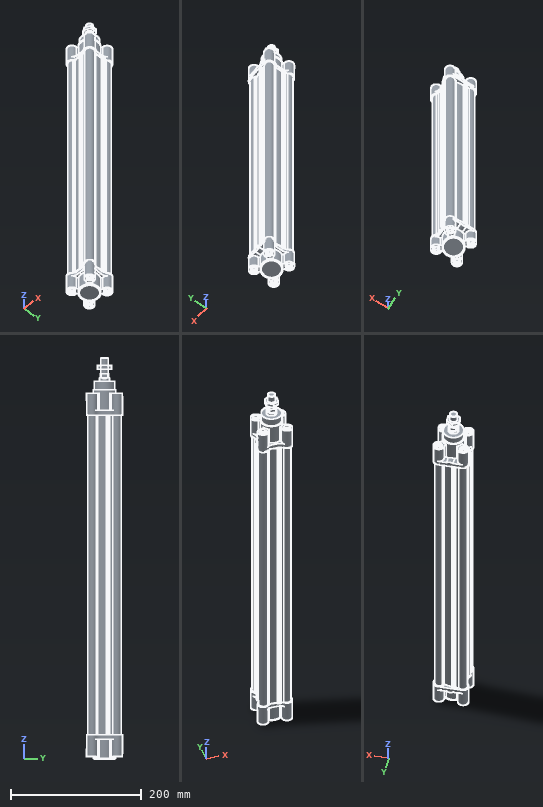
import cadquery as cq
import math


total_height = 613.0
foot_height = 1.5
rear_hub_height = 2.5
cap_height = 33.5
plate_height = 7.5
rod_reach = 54.0
front_hub_height = 5.5
collar_height = 13.0
rear_cap_bottom = foot_height + rear_hub_height
rear_cap_top = rear_cap_bottom + cap_height
front_cap_top = total_height - rod_reach
front_cap_bottom = front_cap_top - cap_height
front_hub_top = front_cap_top + front_hub_height
collar_top = front_hub_top + collar_height

cap_size = 55.0
post_radius = 8.5
post_offset = cap_size / 2 - post_radius
plate_half_width = 21.5
plate_fillet = 13.0
hub_diameter = 35.0
collar_diameter = 32.0
web_width = 10.0
screw_recess_diameter = 10.6
screw_thread_diameter = 4.92
screw_recess_depth = 4.0
screw_hole_depth = 16.0
port_boss_radius = 9.0
port_boss_half_width = 5.0

barrel_half_width = 25.75
barrel_radius = 22.7
barrel_post_radius = 7.5
barrel_post_offset = barrel_half_width - barrel_post_radius
pad_face = 23.5
left_pad_edge = -10.4
pad_end = 14.0
rail_start = 2.8
rail_end = 8.3
rail_face = 25.4
slot_width = 1.8
slot_floor = 21.0

rod_diameter = 16.0
thread_diameter = 12.0
thread_length = 24.0
thread_tip_diameter = 10.65
flats_length = 6.3
flats_size = 13.0
rod_depth = 20.0
nut_size = 19.0
nut_height = 6.0
nut_chamfer = 0.5
nut_setback = 11.4
nut_top = total_height - nut_setback


def cylinder(diameter, bottom, top):
    return cq.Workplane("XY").workplane(offset=bottom).circle(diameter / 2).extrude(top - bottom)


def corner_points(offset):
    return [(x, y) for x in (-offset, offset) for y in (-offset, offset)]


def turned(point, angle):
    """Point turned about the axis by a number of degrees."""
    x, y = point
    turn = math.radians(angle)
    return x * math.cos(turn) - y * math.sin(turn), x * math.sin(turn) + y * math.cos(turn)


def polar(centre, radius, angle):
    return centre[0] + radius * math.cos(angle), centre[1] + radius * math.sin(angle)


def cap_plate():
    """Plate with round corners, hollow between the posts on three sides and flat on the +Y side."""
    hollow_y = -plate_half_width - plate_fillet
    post_angle = math.asin((-post_offset - hollow_y) / (post_radius + plate_fillet))
    hollow_x = post_offset - (post_radius + plate_fillet) * math.cos(post_angle)
    hollow_centre = (hollow_x, hollow_y)
    post_centre = (post_offset, -post_offset)
    middle_angle = (post_angle + math.pi / 2) / 2

    flat_end = (hollow_x, -plate_half_width)
    hollow_middle = polar(hollow_centre, plate_fillet, middle_angle)
    touch = polar(hollow_centre, plate_fillet, post_angle)
    corner = polar(post_centre, post_radius, -math.pi / 4)
    post_side = (cap_size / 2, -post_offset)

    def mirrored(point):
        return -point[0], point[1]

    outline = cq.Workplane("XY").moveTo(*turned(mirrored(touch), -90))
    for angle in (-90, 0, 90):
        outline = (
            outline.threePointArc(turned(mirrored(hollow_middle), angle), turned(mirrored(flat_end), angle))
            .lineTo(*turned(flat_end, angle))
            .threePointArc(turned(hollow_middle, angle), turned(touch, angle))
        )
        if angle < 90:
            next_touch = turned(mirrored(touch), angle + 90)
            outline = outline.threePointArc(turned(corner, angle), next_touch)
    outline = outline.threePointArc(turned(corner, 90), turned(post_side, 90))
    outline = outline.lineTo(*mirrored(turned(post_side, 90)))
    outline = outline.threePointArc(turned(corner, 180), turned(mirrored(touch), -90))
    return outline.close().extrude(plate_height)


def cap():
    """Cap with its plate at Z = 0 and its screw face at Z = cap_height."""
    upper = cq.Workplane("XY").workplane(offset=plate_height)
    upper_height = cap_height - plate_height
    body = upper.circle(hub_diameter / 2).extrude(upper_height)
    for angle in (45, -45):
        web = upper.rect(2 * math.sqrt(2) * post_offset, web_width).extrude(upper_height)
        body = body.union(web.rotate((0, 0, 0), (0, 0, 1), angle))
    posts = upper.pushPoints(corner_points(post_offset)).circle(post_radius).extrude(upper_height)
    body = body.union(posts).union(cap_plate())
    port_boss_drop = math.sqrt(port_boss_radius**2 - port_boss_half_width**2)
    port_boss = (
        cq.Workplane("XZ")
        .center(0, plate_height - port_boss_drop)
        .circle(port_boss_radius)
        .extrude(-cap_size / 2)
        .intersect(cq.Workplane("XY").rect(cap_size, cap_size).extrude(cap_height))
    )
    body = body.union(port_boss)
    recess = (
        cq.Workplane("XY")
        .workplane(offset=cap_height - screw_recess_depth)
        .pushPoints(corner_points(post_offset))
        .circle(screw_recess_diameter / 2)
        .extrude(screw_recess_depth)
    )
    threads = (
        cq.Workplane("XY")
        .workplane(offset=cap_height - screw_hole_depth)
        .pushPoints(corner_points(post_offset))
        .circle(screw_thread_diameter / 2)
        .extrude(screw_hole_depth)
    )
    return body.cut(recess).cut(threads)


def barrel():
    """Round barrel with four corner posts and one slotted rail on each face."""
    length = front_cap_bottom - rear_cap_top
    base = cq.Workplane("XY").workplane(offset=rear_cap_top)
    body = base.circle(barrel_radius).extrude(length)
    body = body.union(
        base.pushPoints(corner_points(barrel_post_offset)).circle(barrel_post_radius).extrude(length)
    )
    ribs = (
        base.moveTo(rail_start, 0)
        .lineTo(rail_start, -rail_face)
        .lineTo(rail_end, -rail_face)
        .lineTo(rail_end, -pad_face)
        .lineTo(pad_end, -pad_face)
        .lineTo(pad_end, 0)
        .close()
        .extrude(length)
    )
    left_pad_width = pad_end + left_pad_edge
    pad_depth = pad_face - barrel_post_offset
    left_pad = (
        base.center(left_pad_edge - left_pad_width / 2, -pad_face + pad_depth / 2)
        .rect(left_pad_width, pad_depth)
        .extrude(length)
    )
    slot_depth = rail_face - slot_floor
    slot = (
        base.center((rail_start + rail_end) / 2, -rail_face + slot_depth / 2)
        .rect(slot_width, slot_depth)
        .extrude(length)
    )
    for angle in (0, 90, 180, 270):
        for rib in (ribs, left_pad):
            body = body.union(rib.rotate((0, 0, 0), (0, 0, 1), angle))
        body = body.cut(slot.rotate((0, 0, 0), (0, 0, 1), angle))
    return body


def housing():
    front_cap = cap().translate((0, 0, front_cap_bottom))
    rear_cap = cap().mirror("XY").translate((0, 0, rear_cap_top))
    body = barrel().union(front_cap).union(rear_cap)
    body = body.union(cylinder(hub_diameter, front_cap_top, front_hub_top))
    body = body.union(cylinder(collar_diameter, front_hub_top, collar_top))
    body = body.union(cylinder(hub_diameter, foot_height, rear_cap_bottom))
    body = body.union(cylinder(collar_diameter, 0, foot_height))
    return body.cut(cylinder(rod_diameter, front_cap_top - rod_depth, collar_top))


def piston_rod():
    """Rod with four wrench flats below the threaded end, each running out at 45 degrees."""
    thread_bottom = total_height - thread_length
    flats_bottom = thread_bottom - flats_length
    run_out = (rod_diameter - flats_size) / 2
    run_out_bottom = flats_bottom - run_out
    shank = cylinder(rod_diameter, front_cap_top - rod_depth, run_out_bottom)
    tapered = (
        cq.Workplane("XY")
        .workplane(offset=run_out_bottom)
        .rect(rod_diameter, rod_diameter)
        .workplane(offset=run_out)
        .rect(flats_size, flats_size)
        .loft(combine=True)
    )
    square = (
        cq.Workplane("XY")
        .workplane(offset=flats_bottom)
        .rect(flats_size, flats_size)
        .extrude(flats_length)
    )
    flats = tapered.union(square).intersect(cylinder(rod_diameter, run_out_bottom, thread_bottom))
    tip_chamfer = (thread_diameter - thread_tip_diameter) / 2
    thread = cylinder(thread_diameter, thread_bottom, total_height).faces(">Z").chamfer(tip_chamfer)
    return shank.union(flats).union(thread)


def lock_nut():
    """Hexagon nut with its corners chamfered at both ends."""
    bottom = nut_top - nut_height
    corner_diameter = nut_size / math.cos(math.pi / 6)
    chamfered_round = cylinder(corner_diameter, bottom, nut_top).edges().chamfer(nut_chamfer)
    return (
        cq.Workplane("XY")
        .workplane(offset=bottom)
        .polygon(6, corner_diameter)
        .extrude(nut_height)
        .rotate((0, 0, 0), (0, 0, 1), 30)
        .intersect(chamfered_round)
        .cut(cylinder(thread_diameter, bottom, nut_top))
    )


result = cq.Compound.makeCompound([housing().val(), piston_rod().val(), lock_nut().val()])